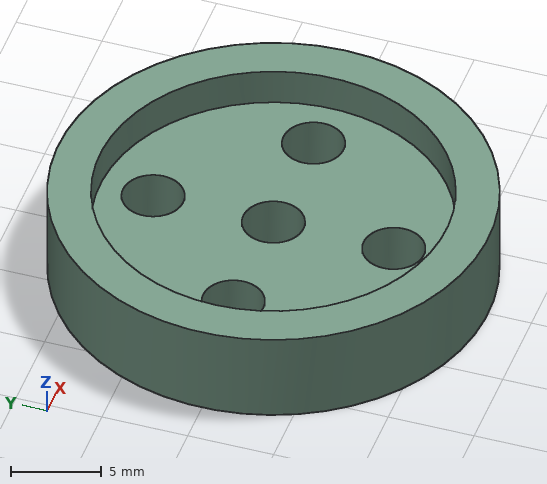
import cadquery as cq

outer_diameter = 25.0
height = 5.5
recess_diameter = 20.15
recess_depth = 2.25
hole_diameter = 3.5
hole_offset = 7.0

disc = cq.Workplane("XY").circle(outer_diameter / 2).extrude(height)

recessed_disc = disc.faces(">Z").workplane().hole(recess_diameter, recess_depth)

hole_centres = [
    (0, 0),
    (hole_offset, 0),
    (0, hole_offset),
    (-hole_offset, 0),
    (0, -hole_offset),
]
holes = cq.Workplane("XY").pushPoints(hole_centres).circle(hole_diameter / 2).extrude(height)

result = recessed_disc.cut(holes)